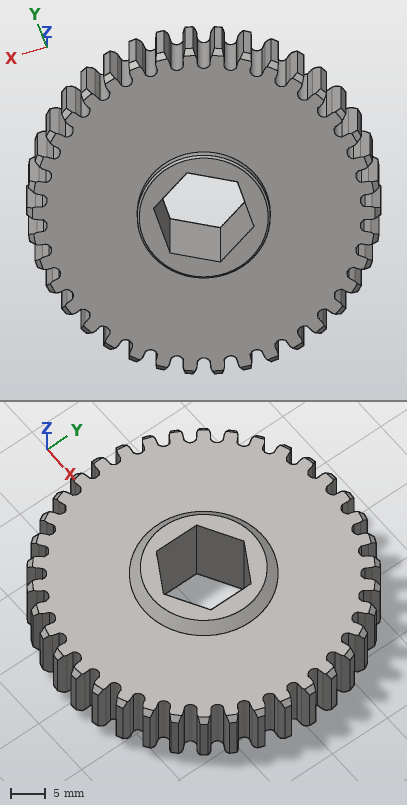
import cadquery as cq
import math

outer_diameter = 50.8
overall_height = 12.7

tooth_count = 38
tip_half_thickness = 0.55
flank_foot_radius = 23.1
flank_foot_half_thickness = 1.0
dedendum_factor = 1.25
tip_chamfer = 0.8

hub_projection = 1.6
upper_hub_top_radius = 9.1
lower_hub_radius = 9.55
lower_hub_chamfer = 0.3

hex_across_flats = 12.7

gear_module = outer_diameter / (tooth_count + 2)
tip_radius = outer_diameter / 2
pitch_radius = gear_module * tooth_count / 2
root_radius = pitch_radius - dedendum_factor * gear_module
tooth_pitch_angle = 2 * math.pi / tooth_count
face_width = overall_height - 2 * hub_projection
gear_top = face_width / 2
gear_bottom = -gear_top


def polar(radius, angle):
    return (radius * math.cos(angle), radius * math.sin(angle))


def make_toothed_disc():
    """Teeth with two flat faces per flank, meeting at the pitch circle, and a round gap bottom."""
    tip_half_angle = math.asin(tip_half_thickness / tip_radius)
    pitch_half_angle = tooth_pitch_angle / 4
    foot_half_angle = math.asin(flank_foot_half_thickness / flank_foot_radius)

    outline = (
        cq.Workplane("XY", origin=(0, 0, gear_bottom))
        .moveTo(*polar(flank_foot_radius, -foot_half_angle))
    )
    for index in range(tooth_count):
        center = index * tooth_pitch_angle
        gap_center = center + tooth_pitch_angle / 2
        next_center = center + tooth_pitch_angle
        outline = (
            outline
            .lineTo(*polar(pitch_radius, center - pitch_half_angle))
            .lineTo(*polar(tip_radius, center - tip_half_angle))
            .threePointArc(polar(tip_radius, center), polar(tip_radius, center + tip_half_angle))
            .lineTo(*polar(pitch_radius, center + pitch_half_angle))
            .lineTo(*polar(flank_foot_radius, center + foot_half_angle))
            .threePointArc(
                polar(root_radius, gap_center),
                polar(flank_foot_radius, next_center - foot_half_angle),
            )
        )
    toothed_disc = outline.close().extrude(face_width)

    chamfered_blank = (
        cq.Workplane("XY", origin=(0, 0, gear_bottom))
        .circle(tip_radius)
        .extrude(face_width)
        .edges()
        .chamfer(tip_chamfer)
    )
    return toothed_disc.intersect(chamfered_blank)


def make_hub():
    """One turned body: a plain lower hub, a core through the gear and a 45 degree cone on top."""
    hub_top = gear_top + hub_projection
    hub_bottom = gear_bottom - hub_projection
    cone_base_radius = upper_hub_top_radius + hub_projection
    return (
        cq.Workplane("XZ")
        .moveTo(0, hub_bottom)
        .lineTo(lower_hub_radius - lower_hub_chamfer, hub_bottom)
        .lineTo(lower_hub_radius, hub_bottom + lower_hub_chamfer)
        .lineTo(lower_hub_radius, gear_top)
        .lineTo(cone_base_radius, gear_top)
        .lineTo(upper_hub_top_radius, hub_top)
        .lineTo(0, hub_top)
        .close()
        .revolve(360, (0, 0, 0), (0, 1, 0))
    )


def make_hex_bore():
    across_corners = hex_across_flats / math.cos(math.pi / 6)
    return (
        cq.Workplane("XY")
        .polygon(6, across_corners)
        .extrude(overall_height, both=True)
        .rotate((0, 0, 0), (0, 0, 1), 30)
    )


result = make_toothed_disc().union(make_hub()).cut(make_hex_bore())